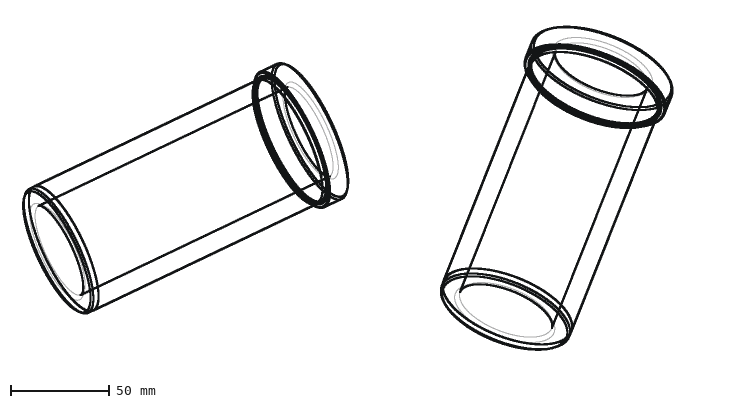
import cadquery as cq

length = 150.0
head_radius = 76.0 / 2
head_length = 12.0
head_rear_chamfer = 1.0
head_front_chamfer = 0.6

body_radius = 35.0
relief_depth = 0.6
relief_width = 1.6
face_undercut = 0.5
face_undercut_radius = 35.8
relief_lead = 0.5

pilot_length = 4.0
pilot_step = 0.2
pilot_chamfer = 1.0

bore_radius = 25.0
bore_rounding = 2.0

head_front = length - head_length
relief_front = head_front - relief_width
relief_radius = body_radius - relief_depth
pilot_radius = body_radius - pilot_step

blank = (
    cq.Workplane("XY")
    .moveTo(0, 0)
    .lineTo(pilot_radius - pilot_chamfer, 0)
    .lineTo(pilot_radius, pilot_chamfer)
    .lineTo(pilot_radius, pilot_length)
    .lineTo(body_radius, pilot_length)
    .lineTo(body_radius, relief_front - relief_lead)
    .lineTo(relief_radius, relief_front)
    .lineTo(relief_radius, head_front + face_undercut)
    .lineTo(body_radius, head_front + face_undercut)
    .lineTo(face_undercut_radius, head_front)
    .lineTo(head_radius - head_front_chamfer, head_front)
    .lineTo(head_radius, head_front + head_front_chamfer)
    .lineTo(head_radius, length - head_rear_chamfer)
    .lineTo(head_radius - head_rear_chamfer, length)
    .lineTo(0, length)
    .close()
    .revolve(360, (0, 0, 0), (0, 1, 0))
)

mouth_radius = bore_radius + bore_rounding
bore = (
    cq.Workplane("XY")
    .moveTo(0, 0)
    .lineTo(mouth_radius, 0)
    .radiusArc((bore_radius, bore_rounding), bore_rounding)
    .lineTo(bore_radius, length - bore_rounding)
    .radiusArc((mouth_radius, length), bore_rounding)
    .lineTo(0, length)
    .close()
    .revolve(360, (0, 0, 0), (0, 1, 0))
)

result = blank.cut(bore)